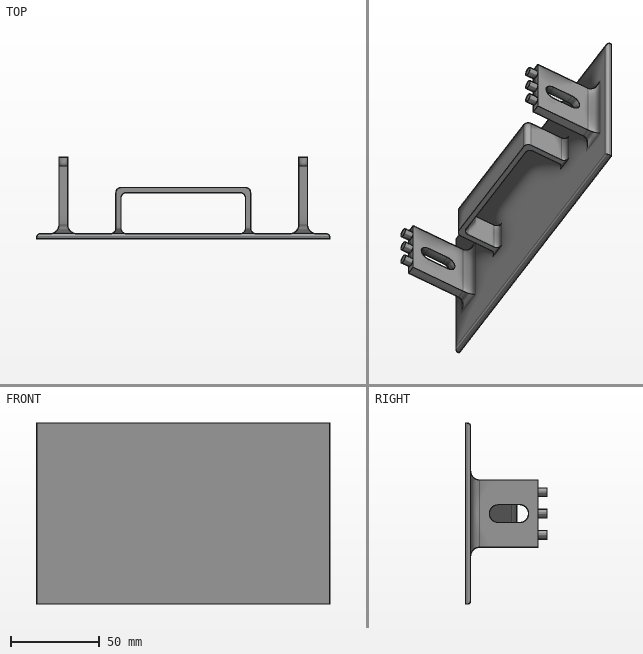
import cadquery as cq

PLATE_LENGTH = 165.0
PLATE_HEIGHT = 102.0
PLATE_THICKNESS = 3.0
PLATE_EDGE_RADIUS = 2.0

LUG_THICKNESS = 5.0
LUG_HEIGHT = 38.0
LUG_END_Y = 41.0
LUG_SPACING = 135.0
LUG_ROOT_RADIUS = 5.0
SLOT_LENGTH = 22.0
SLOT_WIDTH = 10.0
SLOT_CENTER_Y = 24.5

PIN_DIAMETER = 5.0
PIN_LENGTH = 5.0
PIN_PITCH = 12.0
PIN_COUNT = 3

HANDLE_LENGTH = 76.0
HANDLE_END_Y = 29.0
HANDLE_BAR = 3.0
HANDLE_WIDTH = 20.0
HANDLE_CORNER_RADIUS = 3.0
HANDLE_ROOT_RADIUS = 3.0

ROOT_PICK_DEPTH = 0.1


def box_on_plate(length, end_y, height):
    """Block centred on X and Z, reaching from the back of the plate to end_y."""
    depth = end_y - PLATE_THICKNESS
    return cq.Workplane("XY").box(length, depth, height).translate((0, PLATE_THICKNESS + depth / 2, 0))


def make_plate():
    plate = cq.Workplane("XY").box(PLATE_LENGTH, PLATE_THICKNESS, PLATE_HEIGHT)
    plate = plate.translate((0, PLATE_THICKNESS / 2, 0))
    return plate.faces(">Y").edges().fillet(PLATE_EDGE_RADIUS)


def make_handle():
    outer = box_on_plate(HANDLE_LENGTH, HANDLE_END_Y, HANDLE_WIDTH)
    outer = outer.faces(">Y").edges("|Z").fillet(HANDLE_CORNER_RADIUS)
    opening = box_on_plate(HANDLE_LENGTH - 2 * HANDLE_BAR, HANDLE_END_Y - HANDLE_BAR, HANDLE_WIDTH)
    opening = opening.faces(">Y").edges("|Z").fillet(HANDLE_CORNER_RADIUS)
    return outer.cut(opening)


def root_edges(center_x, length, height):
    """Selector for edges on the back of the plate inside a length x height window at center_x."""
    return cq.selectors.BoxSelector(
        (center_x - length / 2, PLATE_THICKNESS - ROOT_PICK_DEPTH, -height / 2),
        (center_x + length / 2, PLATE_THICKNESS + ROOT_PICK_DEPTH, height / 2),
    )


def make_slot():
    slot = cq.Workplane("YZ").center(SLOT_CENTER_Y, 0).slot2D(SLOT_LENGTH, SLOT_WIDTH)
    return slot.extrude(LUG_THICKNESS / 2, both=True)


def make_pins():
    pins = cq.Workplane("XZ", origin=(0, LUG_END_Y, 0)).rarray(1, PIN_PITCH, 1, PIN_COUNT)
    return pins.circle(PIN_DIAMETER / 2).extrude(-PIN_LENGTH)


def add_handle(body):
    """Join the handle to the plate and round the long edges of its two feet."""
    body = body.union(make_handle())
    feet = root_edges(0, HANDLE_LENGTH + HANDLE_BAR, HANDLE_WIDTH)
    return body.edges(feet).edges("|Z").fillet(HANDLE_ROOT_RADIUS)


def add_lug(body, x):
    """Join one lug at x, round its root all the way around, then add its slot and pins."""
    lug = box_on_plate(LUG_THICKNESS, LUG_END_Y, LUG_HEIGHT)
    body = body.union(lug.translate((x, 0, 0)))
    root = root_edges(x, 2 * LUG_THICKNESS, LUG_HEIGHT + 2 * LUG_ROOT_RADIUS)
    body = body.edges(root).fillet(LUG_ROOT_RADIUS)
    body = body.cut(make_slot().translate((x, 0, 0)))
    return body.union(make_pins().translate((x, 0, 0)))


result = add_handle(make_plate())
for lug_x in (-LUG_SPACING / 2, LUG_SPACING / 2):
    result = add_lug(result, lug_x)